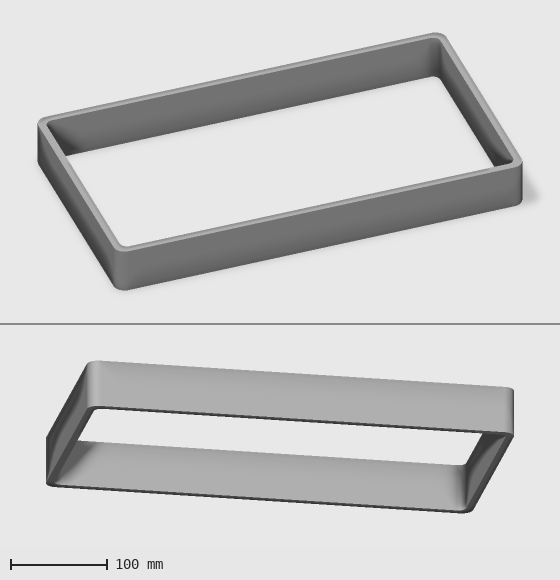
import cadquery as cq

width = 250.0
length = 450.0
height = 50.0

wall = 8.0
outer_radius = 12.0
inner_radius = 8.0


def rounded_block(size_x, size_y, corner_radius):
    """Full-height block with rounded vertical corners, standing on Z = 0."""
    block = cq.Workplane("XY").rect(size_x, size_y).extrude(height)
    return block.edges("|Z").fillet(corner_radius)


outer_block = rounded_block(width, length, outer_radius)
opening = rounded_block(width - 2 * wall, length - 2 * wall, inner_radius)

result = outer_block.cut(opening)